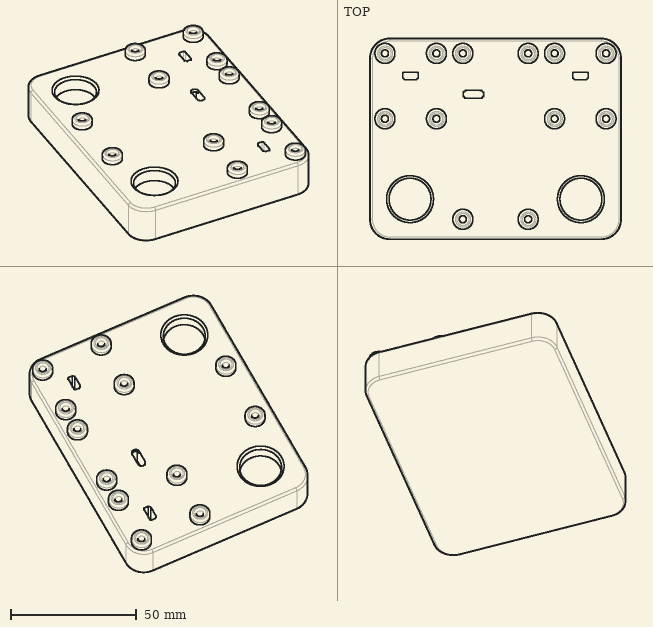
import cadquery as cq
import math

LENGTH = 100.0
WIDTH = 80.0
BODY_HEIGHT = 16.0
CORNER_RADIUS = 8.0
EDGE_BREAK = 1.0

BOSS_DIAMETER = 8.0
BOSS_HEIGHT = 3.0
BOSS_HOLE_DIAMETER = 2.8
BOSS_HOLE_DEPTH = 6.0
BOSS_MOUTH_RADIUS = 1.0

BOSS_BACK_Y = 34.0
BOSS_MIDDLE_Y = 8.0
BOSS_FRONT_Y = -32.0
BOSS_OUTER_X = 44.0
BOSS_INNER_X = 23.5
BOSS_CENTRAL_X = 13.0
BOSS_PAIRS = [
    (BOSS_OUTER_X, BOSS_BACK_Y),
    (BOSS_INNER_X, BOSS_BACK_Y),
    (BOSS_CENTRAL_X, BOSS_BACK_Y),
    (BOSS_OUTER_X, BOSS_MIDDLE_Y),
    (BOSS_INNER_X, BOSS_MIDDLE_Y),
    (BOSS_CENTRAL_X, BOSS_FRONT_Y),
]

POCKET_DIAMETER = 16.7
POCKET_DEPTH = 6.0
POCKET_X = 34.0
POCKET_Y = -24.0

OPENING_DEPTH = 10.0
TRAPEZOID_LENGTH = 6.3
TRAPEZOID_WIDTH = 2.9
TRAPEZOID_CORNER = 0.8
TRAPEZOID_CORNER_RADIUS = 0.5
TRAPEZOID_X = 33.8
TRAPEZOID_Y = 25.0
OBLONG_LENGTH = 8.2
OBLONG_WIDTH = 3.1
OBLONG_RADIUS = 1.5
OBLONG_LIP_DEPTH = 1.5
OBLONG_X = -8.8
OBLONG_Y = 17.7


def mirrored(x, y):
    """A place and its mirror image across the YZ plane."""
    return [(-x, y), (x, y)]


def make_body():
    block = cq.Workplane("XY").box(LENGTH, WIDTH, BODY_HEIGHT, centered=(True, True, False))
    return block.edges("|Z").fillet(CORNER_RADIUS).faces("<Z or >Z").edges().fillet(EDGE_BREAK)


def make_post(x, y):
    post = cq.Workplane("XY", origin=(x, y, 0)).workplane(offset=BODY_HEIGHT - EDGE_BREAK)
    post = post.circle(BOSS_DIAMETER / 2).extrude(BOSS_HEIGHT + EDGE_BREAK)
    return post.faces(">Z").edges().fillet(EDGE_BREAK)


def make_boss_hole(x, y):
    """A blind hole whose mouth flares outward along a rounded lip."""
    radius = BOSS_HOLE_DIAMETER / 2
    lip_middle = BOSS_MOUTH_RADIUS * (1 - math.sqrt(0.5))
    profile = (
        cq.Workplane("XZ", origin=(x, y, BODY_HEIGHT + BOSS_HEIGHT))
        .lineTo(radius + BOSS_MOUTH_RADIUS, 0)
        .threePointArc((radius + lip_middle, -lip_middle), (radius, -BOSS_MOUTH_RADIUS))
        .lineTo(radius, -BOSS_HOLE_DEPTH)
        .lineTo(0, -BOSS_HOLE_DEPTH)
        .close()
    )
    return profile.revolve(360, (0, 0, 0), (0, 1, 0))


def make_pocket(x, y):
    """A round pocket with a chamfered rim."""
    radius = POCKET_DIAMETER / 2
    profile = (
        cq.Workplane("XZ", origin=(x, y, BODY_HEIGHT))
        .lineTo(radius + EDGE_BREAK, 0)
        .lineTo(radius, -EDGE_BREAK)
        .lineTo(radius, -POCKET_DEPTH)
        .lineTo(0, -POCKET_DEPTH)
        .close()
    )
    return profile.revolve(360, (0, 0, 0), (0, 1, 0))


def make_trapezoid_openings():
    top = cq.Workplane("XY", origin=(0, 0, BODY_HEIGHT))
    openings = top.pushPoints(mirrored(TRAPEZOID_X, TRAPEZOID_Y)).rect(TRAPEZOID_LENGTH, TRAPEZOID_WIDTH)
    openings = openings.extrude(-OPENING_DEPTH)
    openings = openings.faces("<Y").edges("|Z").chamfer(TRAPEZOID_CORNER)
    return openings.faces(">Y").edges("|Z").fillet(TRAPEZOID_CORNER_RADIUS)


def make_oblong_opening():
    """A slot rounded at the surface and square-cornered below its lip."""
    top = cq.Workplane("XY", origin=(OBLONG_X, OBLONG_Y, BODY_HEIGHT))
    rounded_mouth = top.rect(OBLONG_LENGTH, OBLONG_WIDTH).extrude(-OBLONG_LIP_DEPTH)
    rounded_mouth = rounded_mouth.edges("|Z").fillet(OBLONG_RADIUS)
    square_part = top.workplane(offset=-OPENING_DEPTH).rect(OBLONG_LENGTH, OBLONG_WIDTH)
    square_part = square_part.extrude(OPENING_DEPTH - OBLONG_LIP_DEPTH)
    return rounded_mouth.union(square_part)


result = make_body()

boss_places = [place for pair in BOSS_PAIRS for place in mirrored(*pair)]
for boss_x, boss_y in boss_places:
    result = result.union(make_post(boss_x, boss_y))
for boss_x, boss_y in boss_places:
    result = result.cut(make_boss_hole(boss_x, boss_y))

for pocket_x, pocket_y in mirrored(POCKET_X, POCKET_Y):
    result = result.cut(make_pocket(pocket_x, pocket_y))

result = result.cut(make_trapezoid_openings()).cut(make_oblong_opening())